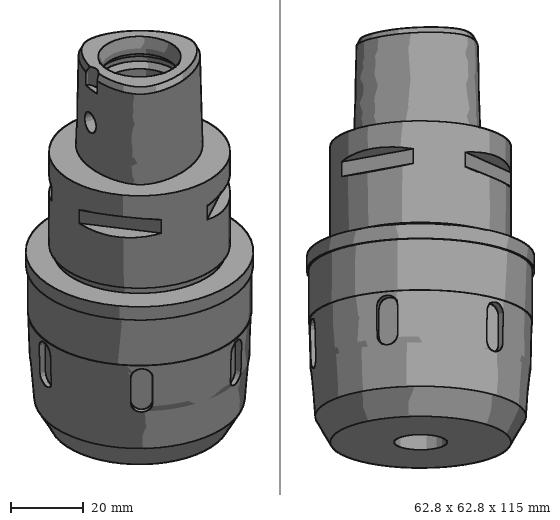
import cadquery as cq
import math

total_height = 115.0
shank_length = 30.0
shoulder_z = total_height - shank_length

shank_radius = 17.5
lobe_amplitude = 1.18
taper_per_length = 1 / 40
outline_points = 96
shank_chamfer_height = 1.8
shank_chamfer_inset = 0.9

collar_radius = 25.0
neck_radius = 23.8
neck_top_z = 55.8
flange_radius = 31.4
flange_top_z = 53.5
flange_bottom_z = 49.3
barrel_radius = 30.9
nut_top_z = 34.6
nut_top_radius = 30.75
nut_skirt_z = 21.4
nut_skirt_radius = 30.4
nut_cone_z = 19.7
nut_cone_radius = 30.1
nose_top_z = 7.4
nose_top_radius = 29.1
nose_radius = 24.9

socket_radius = 10.45
entry_radius = 11.4
entry_depth = 3.3
recess_radius = 11.9
recess_flank_depth = 1.6
recess_start_depth = 5.0
recess_end_depth = 9.7
socket_depth = shank_length
through_radius = 7.3

notch_radius = 3.5
notch_centre_y = -17.3
notch_depth = 5.8
index_hole_radius = 3.0
index_hole_drop = 16.2
index_hole_floor_y = -11.0

groove_count = 4
groove_first_angle = 45.0
groove_floor_radius = 22.1
groove_z = 74.9
groove_floor_height = 4.2
groove_flank_angle = 22.5

slot_count = 6
slot_first_angle = 30.0
slot_width = 6.0
slot_length = 14.0
slot_floor_radius = 28.5
slot_z = 26.5


def lobed_wire(mean_radius, z):
    """Closed three-lobed outline with one lobe pointing to +Y."""

    def outline_point(t):
        angle = 2 * math.pi * t
        reach = mean_radius - lobe_amplitude * math.cos(3 * angle)
        slope = 3 * lobe_amplitude * math.sin(3 * angle)
        x = reach * math.sin(angle) + slope * math.cos(angle)
        y = -reach * math.cos(angle) + slope * math.sin(angle)
        return (x, y, z)

    return cq.Workplane("XY").parametricCurve(outline_point, N=outline_points).val()


def lobed_section(lower_radius, lower_z, upper_radius, upper_z):
    wires = [lobed_wire(lower_radius, lower_z), lobed_wire(upper_radius, upper_z)]
    return cq.Workplane(cq.Solid.makeLoft(wires, True))


def make_shank():
    chamfer_z = total_height - shank_chamfer_height
    chamfer_radius = shank_radius - taper_per_length * (chamfer_z - shoulder_z)
    tip_radius = chamfer_radius - shank_chamfer_inset
    taper = lobed_section(shank_radius, shoulder_z, chamfer_radius, chamfer_z)
    chamfer = lobed_section(chamfer_radius, chamfer_z, tip_radius, total_height)
    return taper.union(chamfer)


def revolve_profile(points):
    """Revolve a closed (radius, z) profile about the Z axis."""
    return cq.Workplane("XZ").polyline(points).close().revolve(360, (0, 0), (0, 1))


def make_body():
    return revolve_profile([
        (0, 0),
        (nose_radius, 0),
        (nose_top_radius, nose_top_z),
        (nut_cone_radius, nut_cone_z),
        (nut_skirt_radius, nut_skirt_z),
        (nut_top_radius, nut_top_z),
        (barrel_radius, nut_top_z),
        (barrel_radius, flange_bottom_z),
        (flange_radius, flange_bottom_z),
        (flange_radius, flange_top_z),
        (neck_radius, flange_top_z),
        (neck_radius, neck_top_z),
        (collar_radius, neck_top_z),
        (collar_radius, shoulder_z),
        (0, shoulder_z),
    ])


def make_bore():
    recess_bottom_z = total_height - recess_end_depth
    recess_top_z = total_height - recess_start_depth
    return revolve_profile([
        (0, 0),
        (through_radius, 0),
        (through_radius, total_height - socket_depth),
        (socket_radius, total_height - socket_depth),
        (socket_radius, recess_bottom_z),
        (recess_radius, recess_bottom_z + recess_flank_depth),
        (recess_radius, recess_top_z - recess_flank_depth),
        (socket_radius, recess_top_z),
        (socket_radius, total_height - entry_depth),
        (entry_radius, total_height),
        (0, total_height),
    ])


def make_notch():
    plane = cq.Workplane("XY", origin=(0, notch_centre_y, total_height))
    return plane.circle(notch_radius).extrude(-notch_depth)


def make_index_hole():
    plane = cq.Workplane("XZ", origin=(0, index_hole_floor_y, total_height - index_hole_drop))
    return plane.circle(index_hole_radius).extrude(shank_radius)


def make_gripper_groove():
    """Trapezoidal groove facing +X, widening outwards."""
    rise = (collar_radius - groove_floor_radius) * math.tan(math.radians(groove_flank_angle))
    floor_half = groove_floor_height / 2
    mouth_half = floor_half + rise
    return (
        cq.Workplane("XZ", origin=(0, 0, groove_z))
        .moveTo(groove_floor_radius, -floor_half)
        .lineTo(collar_radius, -mouth_half)
        .lineTo(collar_radius, mouth_half)
        .lineTo(groove_floor_radius, floor_half)
        .close()
        .extrude(collar_radius, both=True)
    )


def make_spanner_slot():
    """Upright round-ended slot facing +X with a flat floor."""
    plane = cq.Workplane("YZ", origin=(slot_floor_radius, 0, slot_z))
    return plane.slot2D(slot_length, slot_width, 90).extrude(flange_radius - slot_floor_radius)


def cut_around(part, cutter, count, first_angle):
    for index in range(count):
        angle = first_angle + index * 360 / count
        part = part.cut(cutter.rotate((0, 0, 0), (0, 0, 1), angle))
    return part


result = make_body().union(make_shank())
result = result.cut(make_bore())
result = result.cut(make_notch())
result = result.cut(make_index_hole())
result = cut_around(result, make_gripper_groove(), groove_count, groove_first_angle)
result = cut_around(result, make_spanner_slot(), slot_count, slot_first_angle)